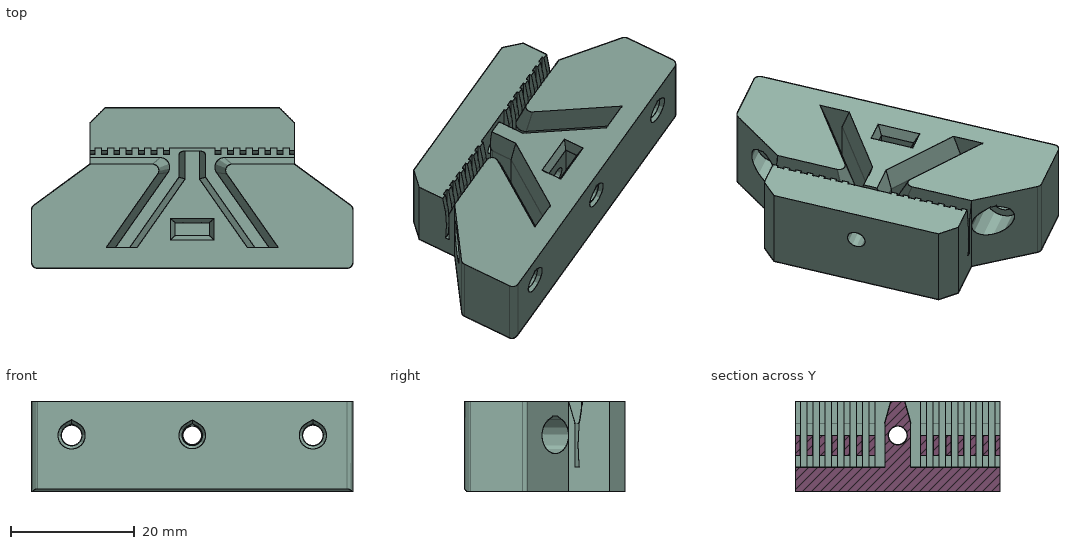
import cadquery as cq
import math

width, depth, height = 52.0, 26.0, 14.6
jaw_half = 16.57
jaw_chamfer = 2.5
shoulder_y = 16.85
shoulder_side_y = 9.95
side_fillet = 1.0
front_edge_chamfer = 0.45

channel_floor_z = 3.95
flare_z = 11.0
arm_end_y = 3.4
arm_angle = math.radians(55)
tongue_tip_y = 18.95
tongue_tip_fillet = 0.7
run_out = 1.0

root_front_y, root_back_y = 17.92, 18.55
root_arm_outer_x, root_arm_inner_x = 12.4, 10.1
root_tongue_half = 2.15
root_corner_radius = 1.55
mouth_front_y, mouth_back_y = shoulder_y, 19.1
mouth_arm_outer_x, mouth_arm_inner_x = 13.9, 8.9
mouth_tongue_half = 1.15
mouth_corner_radius = 1.0

tooth_pitch = 2.0
teeth_per_side = 6
recess_width = 1.05
first_recess_x = 5.2
recess_back_y = 19.45
middle_recess_half = 3.65
crown_height = 0.16

hole_z = 9.1
side_hole_x = 19.5
side_hole_radius, middle_hole_radius = 1.65, 1.5
side_sink_radius, middle_sink_radius = 2.2, 2.15
sink_inner_radius = 1.65
sink_depth = 0.6
teardrop_tangent = math.radians(60)
head_radius = 2.93
head_roof_height = 3.15
head_floor_y = 10.0

nut_y = 6.35
nut_length, nut_width = 5.5, 2.05
nut_mouth_length, nut_mouth_width = 7.1, 3.5
nut_mouth_depth = 1.6
nut_floor_z = hole_z - nut_length / 2


def make_block():
    half = width / 2
    right = [
        (half, 0),
        (half, shoulder_side_y),
        (jaw_half, shoulder_y),
        (jaw_half, depth - jaw_chamfer),
        (jaw_half - jaw_chamfer, depth),
    ]
    left = [(-x, y) for x, y in reversed(right)]
    block = cq.Workplane("XY").polyline(right + left).close().extrude(height)
    block = block.edges("|Z and (>X or <X)").fillet(side_fillet)
    wedge = (
        cq.Workplane("YZ")
        .polyline([(0, 0), (front_edge_chamfer, 0), (0, front_edge_chamfer)])
        .close()
        .extrude(half, both=True)
    )
    return block.cut(wedge)


def cavity_outline(plane, front_y, back_y, arm_outer_x, corner_radius):
    """Cross slot joined to the whole area between the outer walls of the two arms."""
    end_x = jaw_half + run_out
    corner_x = arm_outer_x - (front_y - arm_end_y) / math.tan(arm_angle)
    setback = corner_radius / math.tan(arm_angle / 2)
    center_x, center_y = corner_x + setback, front_y - corner_radius
    arc_start = (center_x, front_y)
    arc_middle = (
        center_x - corner_radius * math.cos(arm_angle / 2),
        center_y + corner_radius * math.sin(arm_angle / 2),
    )
    arc_end = (
        corner_x + setback * math.cos(arm_angle),
        front_y - setback * math.sin(arm_angle),
    )

    def mirror(point):
        return (-point[0], point[1])

    return (
        plane.moveTo(end_x, back_y)
        .lineTo(end_x, front_y)
        .lineTo(*arc_start)
        .threePointArc(arc_middle, arc_end)
        .lineTo(arm_outer_x, arm_end_y)
        .lineTo(-arm_outer_x, arm_end_y)
        .lineTo(*mirror(arc_end))
        .threePointArc(mirror(arc_middle), mirror(arc_start))
        .lineTo(-end_x, front_y)
        .lineTo(-end_x, back_y)
        .close()
    )


def tongue_outline(plane, arm_inner_x, tongue_half):
    """Triangular island between the arms with a straight tongue reaching the back wall."""
    tongue_root_y = arm_end_y + (arm_inner_x - tongue_half) * math.tan(arm_angle)
    return (
        plane.moveTo(arm_inner_x, arm_end_y)
        .lineTo(tongue_half, tongue_root_y)
        .lineTo(tongue_half, tongue_tip_y)
        .lineTo(-tongue_half, tongue_tip_y)
        .lineTo(-tongue_half, tongue_root_y)
        .lineTo(-arm_inner_x, arm_end_y)
        .close()
    )


def flared_solid(outline, root_sizes, mouth_sizes):
    """Straight solid up to the flare root, then a ruled blend to the top face."""
    floor = cq.Workplane("XY", origin=(0, 0, channel_floor_z))
    straight = outline(floor, *root_sizes).extrude(flare_z - channel_floor_z)
    flare = outline(cq.Workplane("XY", origin=(0, 0, flare_z)), *root_sizes)
    flare = outline(flare.workplane(offset=height - flare_z), *mouth_sizes).loft(ruled=True)
    return straight.union(flare)


def make_cavity():
    return flared_solid(
        cavity_outline,
        (root_front_y, root_back_y, root_arm_outer_x, root_corner_radius),
        (mouth_front_y, mouth_back_y, mouth_arm_outer_x, mouth_corner_radius),
    )


def make_tongue():
    tongue = flared_solid(
        tongue_outline,
        (root_arm_inner_x, root_tongue_half),
        (mouth_arm_inner_x, mouth_tongue_half),
    )
    floor = cq.Workplane("XY", origin=(0, 0, channel_floor_z))
    envelope = tongue_outline(floor, root_arm_inner_x, root_tongue_half)
    envelope = envelope.extrude(height - channel_floor_z)
    envelope = envelope.edges("|Z and >Y").fillet(tongue_tip_fillet)
    return tongue.intersect(envelope)


def make_rib_crown():
    """Shallow ridge on the back wall of the channel, highest halfway up."""
    middle_z = (channel_floor_z + flare_z) / 2
    return (
        cq.Workplane("YZ")
        .polyline(
            [
                (root_back_y, channel_floor_z),
                (root_back_y - crown_height, middle_z),
                (root_back_y, flare_z),
            ]
        )
        .close()
        .extrude(jaw_half, both=True)
    )


def belt_recess(x, recess_half):
    return (
        cq.Workplane("XY", origin=(0, 0, channel_floor_z))
        .moveTo(x - recess_half, root_back_y - crown_height)
        .lineTo(x + recess_half, root_back_y - crown_height)
        .lineTo(x + recess_half, recess_back_y)
        .lineTo(x - recess_half, recess_back_y)
        .close()
        .extrude(height - channel_floor_z)
    )


def make_belt_recesses():
    recesses = belt_recess(0, middle_recess_half)
    for side in (-1, 1):
        for index in range(teeth_per_side):
            x = side * (first_recess_x + index * tooth_pitch)
            recesses = recesses.union(belt_recess(x, recess_width / 2))
    return recesses


def make_belt_pocket():
    return make_cavity().cut(make_rib_crown()).union(make_belt_recesses()).cut(make_tongue())


def teardrop(plane, radius, roof_height=None):
    """Circle with a pitched roof above it, cut off flat at roof_height if given."""
    tangent_x = radius * math.cos(teardrop_tangent)
    tangent_y = radius * math.sin(teardrop_tangent)
    peak_y = radius / math.sin(teardrop_tangent)
    outline = plane.moveTo(-tangent_x, tangent_y)
    outline = outline.threePointArc((0, -radius), (tangent_x, tangent_y))
    if roof_height is None:
        return outline.lineTo(0, peak_y).close()
    roof_half = (peak_y - roof_height) * math.tan(teardrop_tangent)
    return outline.lineTo(roof_half, roof_height).lineTo(-roof_half, roof_height).close()


def hole_plane(x, y):
    """Sketch plane facing +Y with local X along -X and local Y along Z."""
    return cq.Workplane(cq.Plane((x, y, hole_z), xDir=(-1, 0, 0), normal=(0, 1, 0)))


def screw_hole(x, radius, sink_radius):
    shaft = hole_plane(x, 0).circle(radius).extrude(depth)
    sink = teardrop(hole_plane(x, 0), sink_radius)
    sink = teardrop(sink.workplane(offset=sink_depth), sink_inner_radius).loft(ruled=True)
    return shaft.union(sink)


def head_bore(x):
    return teardrop(hole_plane(x, head_floor_y), head_radius, head_roof_height).extrude(depth)


def make_nut_trap():
    mouth_z = height - nut_mouth_depth
    shaft = (
        cq.Workplane("XY", origin=(0, nut_y, nut_floor_z))
        .rect(nut_length, nut_width)
        .extrude(mouth_z - nut_floor_z)
    )
    mouth = (
        cq.Workplane("XY", origin=(0, nut_y, mouth_z))
        .rect(nut_length, nut_width)
        .workplane(offset=nut_mouth_depth)
        .rect(nut_mouth_length, nut_mouth_width)
        .loft(ruled=True)
    )
    return shaft.union(mouth)


result = make_block().cut(make_belt_pocket())
result = result.cut(screw_hole(0, middle_hole_radius, middle_sink_radius))
result = result.cut(make_nut_trap())
for side in (-1, 1):
    result = result.cut(screw_hole(side * side_hole_x, side_hole_radius, side_sink_radius))
    result = result.cut(head_bore(side * side_hole_x))